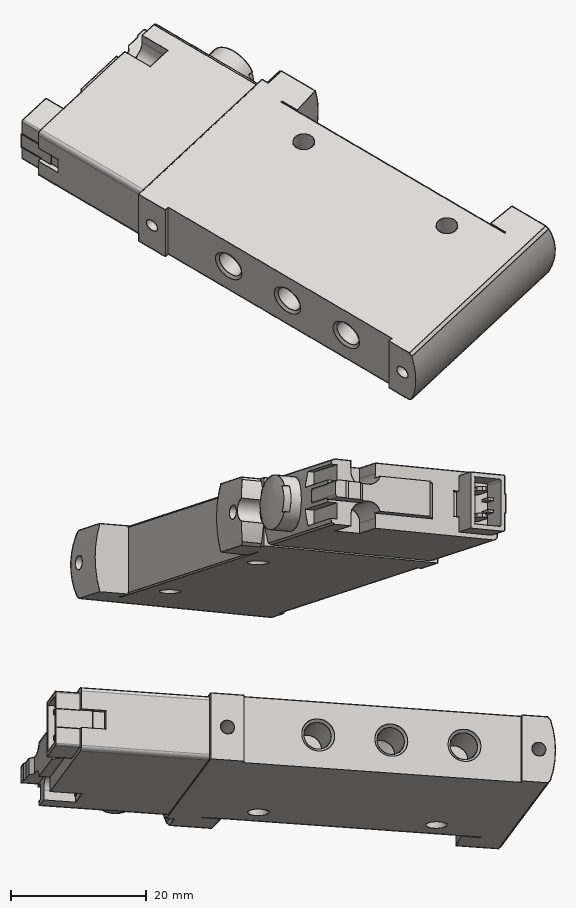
import cadquery as cq
LENGTH = 75.3
WIDTH = 33.1
THICK = 10.25
MID_Z = THICK / 2
CROWN = 0.75
OVERCUT = 0.75

PILOT_END_X = 23.1
FLANGE_LENGTH = 5.05
LUG_BASE = 2.85
LUG_TIP = 2.5
BLOCK_MIN_Y = 0.7
BLOCK_MAX_Y = 27.7
BLOCK_BEVEL = 0.2
EDGE_BEVEL = 0.45
FLANGE_HOLE_D = 2.1
RELIEF_NOTCH_D = 3.9
RELIEF_NOTCH_OFFSET = 0.8
MOUNT_HOLE_D = 3.2
MOUNT_HOLE_X = 35.7
MOUNT_HOLE_PITCH = 26.95
MOUNT_HOLE_Y = 23.35
PORT_D = 4.15
PORT_MOUTH_D = 5.0
PORT_CENTRE_X = 50.6
PORT_PITCH = 11.1
PORT_DEPTH = 6.8
DRILL_POINT = 1.2

CAP_FACE_X = 3.7
CAP_LENGTH = 4.8
PILOT_INSET_Z = 0.2
PILOT_MAX_Y = 29.3
PILOT_BEVEL = 0.45
PILOT_BEVEL_Z = 0.2
PILOT_EDGE_R = 0.7
CHANNEL_D = 4.15
CHANNEL_Y = 23.3
LEDGE_WIDTH = 0.7
LEDGE_LENGTH = 0.15
LEDGE_INSET_Z = 1.2
RECESS_END_X = 10.6
RECESS_MIN_Y = 27.7
RECESS_HEIGHT = 2.4
RECESS_GAP = 0.4

ARM_THICK = 2.55
ARM_EDGE_R = 0.4
ARM_TIP_X = 1.1
ARM_STEP = 0.2
ARM_STEP_WIDTH = 0.5
ARM_STEP_Y = 27.55
ARM_BEVEL_Y = 25.0
ARM_BEVEL = 0.7
PAD_X = ARM_TIP_X + ARM_STEP + ARM_BEVEL
PAD_THICK = 5.3
PAD_MIN_Y = 11.6
PAD_BEVEL = 1.35

BUTTON_D = 8.1
BUTTON_X = 15.75
BUTTON_RIM_Y = 31.85
BUTTON_TOP_Y = 32.5
FACET_WIDTH = 3.9
FACET_MIN_Y = 31.0
FACET_TOP_D = 6.8

CONN_MIN_Y = 1.4
CONN_WIDTH = 5.7
CONN_THICK = 8.4
CONN_WALL = 0.7
CONN_EDGE_R = 0.3
CONN_DEPTH = 4.15
KEY_WIDTH = 2.85
KEY_HEIGHT = 0.15
KEY_END_X = 5.6
KEY_SLOT_END_X = 7.4
KEY_SLOT_DEPTH = 0.75
RELIEF_WIDTH = 3.85
RELIEF_HEIGHT = 0.8
RELIEF_DEPTH = 0.75
PIN_Y = 4.7
PIN_WIDTH = 1.8
PIN_THICK = 0.6
PIN_TIP_WIDTH = 0.6
PIN_TIP_X = 0.45
PIN_SPACING = 4.0
GUIDE_SPACING = 1.8
GUIDE_THICK = 0.4
GUIDE_HEIGHT = 0.9
GUIDE_START_X = 2.25


def box(x0, x1, y0, y1, z0, z1):
    """Box between two opposite corners."""
    return cq.Workplane("XY").box(x1 - x0, y1 - y0, z1 - z0, centered=False).translate((x0, y0, z0))


def mid_box(x0, x1, y0, y1, thick, offset=0.0):
    """Box centred on mid thickness, or moved from it by an offset along Z."""
    centre = MID_Z + offset
    return box(x0, x1, y0, y1, centre - thick / 2, centre + thick / 2)


def crowned_slab(side_y, max_y, inset_z, bevel_y, bevel_z, x0, x1):
    """Slab along X whose +Y end is an arc, with a bevel between the arc and each flat."""
    bottom = inset_z
    top = THICK - inset_z
    outline = cq.Workplane("YZ").moveTo(side_y, bottom)
    if bevel_y:
        outline = outline.lineTo(max_y - CROWN - bevel_y, bottom)
    outline = outline.lineTo(max_y - CROWN, bottom + bevel_z)
    outline = outline.threePointArc((max_y, MID_Z), (max_y - CROWN, top - bevel_z))
    if bevel_y:
        outline = outline.lineTo(max_y - CROWN - bevel_y, top)
    return outline.lineTo(side_y, top).close().extrude(x1 - x0).translate((x0, 0, 0))


def end_trim(tip_x, direction, y0, y1):
    """Crowned length of a flange, as seen along Y; direction points out of the end."""
    shoulder_x = tip_x - direction * CROWN
    bevel_x = shoulder_x - direction * EDGE_BEVEL
    inner_x = tip_x - direction * 2 * FLANGE_LENGTH
    return (
        cq.Workplane("XZ")
        .moveTo(inner_x, 0)
        .lineTo(bevel_x, 0)
        .lineTo(shoulder_x, EDGE_BEVEL)
        .threePointArc((tip_x, MID_Z), (shoulder_x, THICK - EDGE_BEVEL))
        .lineTo(bevel_x, THICK)
        .lineTo(inner_x, THICK)
        .close()
        .extrude(y0 - y1)
        .translate((0, y0, 0))
    )


def make_flange(tip_x, direction, crown_start_y):
    """End flange with a tapered lug; its end is crowned for Y above crown_start_y."""
    inner_x = tip_x - direction * FLANGE_LENGTH
    outline = (
        cq.Workplane("XY")
        .moveTo(tip_x, 0)
        .lineTo(inner_x, 0)
        .lineTo(inner_x, BLOCK_MAX_Y)
        .lineTo(inner_x - direction * LUG_BASE, BLOCK_MAX_Y)
        .lineTo(inner_x - direction * LUG_TIP, WIDTH)
        .lineTo(tip_x, WIDTH)
        .close()
        .extrude(THICK)
    )
    flange = outline.intersect(crowned_slab(0, WIDTH, 0, 0, 0, 0, LENGTH))
    envelope = end_trim(tip_x, direction, crown_start_y, WIDTH)
    if crown_start_y > 0:
        envelope = envelope.union(box(0, LENGTH, 0, crown_start_y, 0, THICK))
    flange = flange.intersect(envelope)
    hole_x = tip_x - direction * FLANGE_LENGTH / 2
    return flange.cut(y_cylinder(FLANGE_HOLE_D, hole_x, -OVERCUT, WIDTH + OVERCUT))


def y_cylinder(diameter, x, y0, y1):
    """Cylinder along Y at mid thickness."""
    return cq.Workplane("XZ").circle(diameter / 2).extrude(y0 - y1).translate((x, y0, MID_Z))


def y_cone(diameter, end_diameter, x, y, height):
    """Cone along +Y at mid thickness, from the diameter at y to the end diameter."""
    axis = cq.Vector(0, 1, 0)
    cone = cq.Solid.makeCone(diameter / 2, end_diameter / 2, height, cq.Vector(x, y, MID_Z), axis)
    return cq.Workplane(obj=cone)


def make_port(x, pointed):
    """Cutter for a port in the -Y face, with a bevelled mouth."""
    bottom_y = BLOCK_MIN_Y + PORT_DEPTH
    port = y_cylinder(PORT_D, x, BLOCK_MIN_Y, bottom_y)
    port = port.union(y_cone(PORT_MOUTH_D, PORT_D, x, BLOCK_MIN_Y, (PORT_MOUTH_D - PORT_D) / 2))
    if pointed:
        port = port.union(y_cone(PORT_D, 0, x, bottom_y, DRILL_POINT))
    return port


def make_valve_body():
    """Ported block between two flanges."""
    block = box(PILOT_END_X + FLANGE_LENGTH, LENGTH - FLANGE_LENGTH, BLOCK_MIN_Y, BLOCK_MAX_Y, 0, THICK)
    block = block.edges("|X and >Y").chamfer(BLOCK_BEVEL)
    body = block.union(make_flange(PILOT_END_X, -1, PILOT_MAX_Y))
    body = body.union(make_flange(LENGTH, 1, 0))
    body = body.cut(y_cylinder(RELIEF_NOTCH_D, PILOT_END_X - RELIEF_NOTCH_OFFSET, PILOT_MAX_Y, WIDTH))
    for step in (-1, 0, 1):
        body = body.cut(make_port(PORT_CENTRE_X + step * PORT_PITCH, step == 0))
    for x in (MOUNT_HOLE_X, MOUNT_HOLE_X + MOUNT_HOLE_PITCH):
        hole = cq.Workplane("XY").circle(MOUNT_HOLE_D / 2).extrude(THICK)
        body = body.cut(hole.translate((x, MOUNT_HOLE_Y, 0)))
    return body


def make_channel(side):
    """Round-bottomed channel across the cap; side is +1 on top and -1 underneath."""
    radius = CHANNEL_D / 2
    centre_z = MID_Z + side * (ARM_THICK / 2 + radius)
    cap_end_x = CAP_FACE_X + CAP_LENGTH
    round_part = cq.Workplane("YZ").circle(radius).extrude(cap_end_x).translate((0, CHANNEL_Y, centre_z))
    z_low, z_high = sorted((centre_z, MID_Z + side * THICK))
    return round_part.union(box(0, cap_end_x, CHANNEL_Y - radius, CHANNEL_Y + radius, z_low, z_high))


def make_ledge(side):
    """Small ledge on the +Y wall of a channel, at its inner end; side as for the channel."""
    end_x = CAP_FACE_X + CAP_LENGTH
    wall_y = CHANNEL_Y + CHANNEL_D / 2
    z_low, z_high = sorted((MID_Z + side * ARM_THICK / 2, MID_Z + side * (MID_Z - LEDGE_INSET_Z)))
    return box(end_x - LEDGE_LENGTH, end_x, wall_y - LEDGE_WIDTH, wall_y, z_low, z_high)


def make_arm():
    """Thin latch arm that widens into a pad towards -Y."""
    step_x = ARM_TIP_X + ARM_STEP
    arm = (
        cq.Workplane("XY")
        .moveTo(CAP_FACE_X + CAP_LENGTH, PILOT_MAX_Y)
        .lineTo(ARM_TIP_X, PILOT_MAX_Y)
        .lineTo(ARM_TIP_X, ARM_STEP_Y)
        .lineTo(step_x, ARM_STEP_Y - ARM_STEP_WIDTH)
        .lineTo(step_x, ARM_BEVEL_Y)
        .lineTo(PAD_X, ARM_BEVEL_Y - ARM_BEVEL)
        .lineTo(PAD_X, CHANNEL_Y)
        .lineTo(CAP_FACE_X + CAP_LENGTH, CHANNEL_Y)
        .close()
        .extrude(ARM_THICK)
        .translate((0, 0, MID_Z - ARM_THICK / 2))
        .edges("|X and >Y")
        .fillet(ARM_EDGE_R)
    )
    pad = (
        cq.Workplane("XY")
        .moveTo(CAP_FACE_X, CHANNEL_Y)
        .lineTo(PAD_X, CHANNEL_Y)
        .lineTo(PAD_X, PAD_MIN_Y + PAD_BEVEL)
        .lineTo(CAP_FACE_X, PAD_MIN_Y)
        .close()
        .extrude(PAD_THICK)
        .translate((0, 0, MID_Z - PAD_THICK / 2))
    )
    return arm.union(pad)


def make_button():
    """Round domed button on the +Y face, with a conical facet at each X end."""
    radius = BUTTON_D / 2
    dome_height = BUTTON_TOP_Y - BUTTON_RIM_Y
    dome_radius = (radius**2 + dome_height**2) / (2 * dome_height)
    dome = cq.Workplane("XY").sphere(dome_radius).translate((BUTTON_X, BUTTON_TOP_Y - dome_radius, MID_Z))
    button = y_cylinder(BUTTON_D, BUTTON_X, RECESS_MIN_Y, BUTTON_TOP_Y).intersect(dome)

    facets = mid_box(BUTTON_X - radius, BUTTON_X + radius, FACET_MIN_Y, BUTTON_TOP_Y, FACET_WIDTH)
    facet_height = BUTTON_TOP_Y - FACET_MIN_Y
    facets = facets.cut(y_cone(BUTTON_D, FACET_TOP_D, BUTTON_X, FACET_MIN_Y, facet_height))
    return button.cut(facets)


def add_connector(pilot):
    """Add the shrouded connector, its latch rib, guide ribs and pins to the pilot."""
    max_y = CONN_MIN_Y + CONN_WIDTH
    inner_y = CONN_MIN_Y + CONN_WALL
    shroud = mid_box(0, CAP_FACE_X, CONN_MIN_Y, max_y, CONN_THICK).edges("|X and <Y").fillet(CONN_EDGE_R)
    cavity = mid_box(0, CONN_DEPTH, inner_y, max_y - CONN_WALL, CONN_THICK - 2 * CONN_WALL)
    cavity = cavity.edges("|X and <Y").fillet(CONN_EDGE_R)
    key_slot = mid_box(CAP_FACE_X, KEY_SLOT_END_X, 0, BLOCK_MIN_Y + KEY_SLOT_DEPTH, KEY_WIDTH)
    relief = mid_box(CAP_FACE_X, CAP_FACE_X + RELIEF_DEPTH, max_y, max_y + RELIEF_HEIGHT, RELIEF_WIDTH)
    key_y = CONN_MIN_Y - KEY_HEIGHT
    key = mid_box(0, KEY_END_X, key_y, BLOCK_MIN_Y + KEY_SLOT_DEPTH, KEY_WIDTH)
    pilot = pilot.cut(key_slot).cut(relief).union(shroud).union(key).cut(cavity)
    for side in (-1, 1):
        guide_z = side * GUIDE_SPACING / 2
        guide = mid_box(GUIDE_START_X, CONN_DEPTH, inner_y, inner_y + GUIDE_HEIGHT, GUIDE_THICK, guide_z)
        pilot = pilot.union(guide).union(make_pin(side * PIN_SPACING / 2))
    return pilot


def make_pin(offset_z):
    """Flat contact pin with a tapered tip."""
    taper = (PIN_WIDTH - PIN_TIP_WIDTH) / 2
    return (
        cq.Workplane("XY")
        .moveTo(CONN_DEPTH, PIN_Y - PIN_WIDTH / 2)
        .lineTo(CONN_DEPTH, PIN_Y + PIN_WIDTH / 2)
        .lineTo(PIN_TIP_X + taper, PIN_Y + PIN_WIDTH / 2)
        .lineTo(PIN_TIP_X, PIN_Y + PIN_TIP_WIDTH / 2)
        .lineTo(PIN_TIP_X, PIN_Y - PIN_TIP_WIDTH / 2)
        .lineTo(PIN_TIP_X + taper, PIN_Y - PIN_WIDTH / 2)
        .close()
        .extrude(PIN_THICK)
        .translate((0, 0, MID_Z + offset_z - PIN_THICK / 2))
    )


def make_pilot():
    """Pilot valve with its cap, latch arm, button and connector."""
    pilot = crowned_slab(
        BLOCK_MIN_Y, PILOT_MAX_Y, PILOT_INSET_Z, PILOT_BEVEL, PILOT_BEVEL_Z, CAP_FACE_X, PILOT_END_X
    )
    pilot = pilot.edges("|X and <Y").fillet(PILOT_EDGE_R)
    recess_z = (ARM_THICK + RECESS_HEIGHT) / 2 + RECESS_GAP
    for side in (-1, 1):
        pilot = pilot.cut(
            mid_box(CAP_FACE_X, RECESS_END_X, RECESS_MIN_Y, WIDTH, RECESS_HEIGHT, side * recess_z)
        )
    pilot = pilot.union(make_arm())
    for side in (-1, 1):
        pilot = pilot.cut(make_channel(side)).union(make_ledge(side))
    return add_connector(pilot.union(make_button()))


valve_body = make_valve_body()
pilot_unit = make_pilot()

result = cq.Compound.makeCompound([valve_body.val(), pilot_unit.val()])